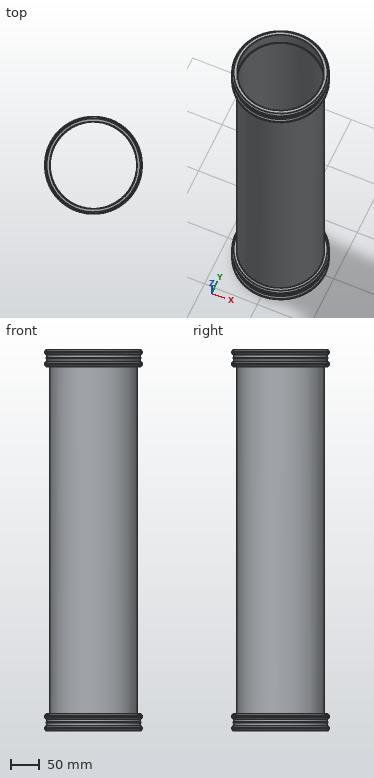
import cadquery as cq

total_length = 658.8
bore_radius = 150 / 2
tube_radius = 151.8 / 2
collar_radius = 161.8 / 2
flange_radius = 168.4 / 2
rib_height = 1.0

collar_length = 29.4
flange_width = 9.0
rib_half_width = 0.8

flange_slope = flange_radius - collar_radius


def collar(bottom):
    """Ring with a sloped flange at each end and a pointed rib midway between them."""
    top = bottom + collar_length
    middle = bottom + collar_length / 2
    rib_radius = collar_radius + rib_height
    profile = [
        (bore_radius, bottom),
        (collar_radius, bottom),
        (flange_radius, bottom + flange_slope),
        (flange_radius, bottom + flange_width - flange_slope),
        (collar_radius, bottom + flange_width),
        (collar_radius, middle - rib_half_width),
        (rib_radius, middle),
        (collar_radius, middle + rib_half_width),
        (collar_radius, top - flange_width),
        (flange_radius, top - flange_width + flange_slope),
        (flange_radius, top - flange_slope),
        (collar_radius, top),
        (bore_radius, top),
    ]
    return cq.Workplane("XZ").polyline(profile).close().revolve(360, (0, 0, 0), (0, 1, 0))


upper_collar_bottom = total_length - collar_length
tube = (
    cq.Workplane("XY")
    .workplane(offset=collar_length)
    .circle(tube_radius)
    .circle(bore_radius)
    .extrude(upper_collar_bottom - collar_length)
)
duct = tube.union(collar(0))

upper_collar = collar(upper_collar_bottom)

result = cq.Compound.makeCompound([duct.val(), upper_collar.val()])